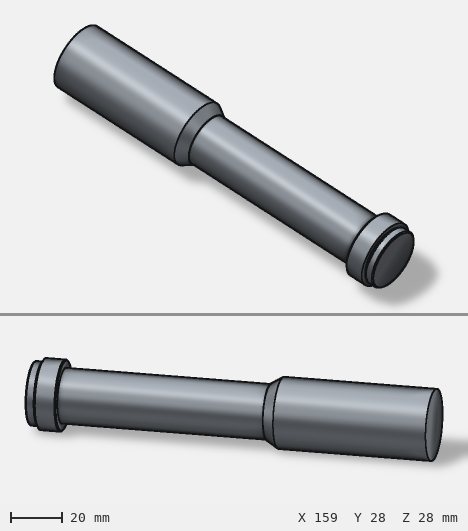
import cadquery as cq

total_length = 159.0
handle_length = 60.4
taper_length = 4.8
collar_start = 146.6
collar_length = 8.1
groove_width = 1.0

body_radius = 14.0
shaft_radius = 10.8
taper_end_radius = 11.1
groove_radius = 12.0
tip_radius = 12.5

edge_chamfer = 0.5

taper_end = handle_length + taper_length
collar_end = collar_start + collar_length
tip_start = collar_end + groove_width

half_section = (
    cq.Workplane("XY")
    .moveTo(0, 0)
    .lineTo(0, body_radius)
    .lineTo(handle_length, body_radius)
    .lineTo(taper_end, taper_end_radius)
    .lineTo(taper_end, shaft_radius)
    .lineTo(collar_start, shaft_radius)
    .lineTo(collar_start, body_radius - edge_chamfer)
    .lineTo(collar_start + edge_chamfer, body_radius)
    .lineTo(collar_end, body_radius)
    .lineTo(collar_end, groove_radius)
    .lineTo(tip_start, groove_radius)
    .lineTo(tip_start, tip_radius)
    .lineTo(total_length - edge_chamfer, tip_radius)
    .lineTo(total_length, tip_radius - edge_chamfer)
    .lineTo(total_length, 0)
    .close()
)

result = half_section.revolve(360, (0, 0, 0), (1, 0, 0))